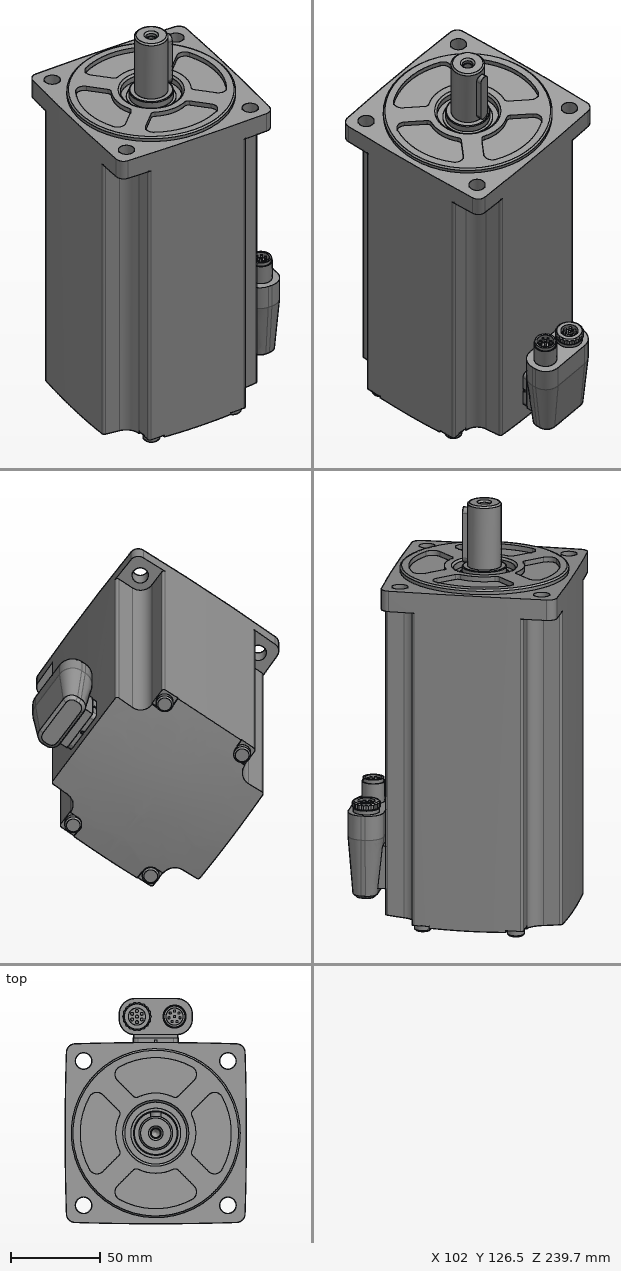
import cadquery as cq
import math


total_height = 239.7
flange_top = 199.7
flange_thickness = 12.0
flange_bottom = flange_top - flange_thickness
pilot_height = 2.9
pilot_top = flange_top + pilot_height

body_width = 102.0
total_depth = 126.5
mid_half_width = body_width / 2
bulge = 0.7
corner_radius = 5.0
end_half_width = mid_half_width - bulge
corner_center = end_half_width - corner_radius

groove_wall = 32.0
groove_inner_radius = 8.0
groove_edge_radius = 1.5
dome_radius = 443.5

flange_hole_diameter = 9.0
flange_hole_offset = 40.5
pilot_diameter = 95.0
pilot_chamfer = 1.0

pocket_outer_radius = 42.5
pocket_inner_radius = 22.5
pocket_depth = pilot_height
rib_width = 11.5
pocket_outer_fillet = 4.8
pocket_inner_fillet = 2.5

recess_diameter = 34.8
recess_depth = 4.8
recess_chamfer = 1.2
seal_diameter = 28.0
seal_height = 0.5
collar_diameter = 25.0
collar_chamfer = 0.5

shaft_diameter = 19.0
shaft_chamfer = 1.0
center_sink_diameter = 8.2
center_bore_diameter = 6.0
center_bore_depth = 2.9
center_drill_diameter = 5.0
center_drill_depth = 16.0
key_width = 6.0
key_length = 32.1
key_top_gap = 3.5
key_reach = 12.0
key_height = 6.0

screw_x = 44.5
screw_y = 26.5
screw_head_diameter = 9.5
screw_head_chamfer = 1.0
screw_bottom = 0.5
notch_top = 4.5

box_length = 41.2
box_width = 20.4
box_outer_face = total_depth - mid_half_width
box_flat = 2.5
box_y = box_outer_face - box_width / 2
box_top = 57.8
taper_top = 43.6
taper_bottom = 8.0
foot_length = 34.0
foot_width = 13.7
foot_y = 66.0
foot_chamfer = 2.0

mount_size = 25.5
neck_size = 25.0
mount_z = 26.0
mount_corner_radius = 2.9
plate_face = 53.5
plate_notch_size = 1.5

socket_x = 10.5
socket_y = box_y
socket_bore_diameter = 9.5
socket_bore_depth = 3.5
pin_circle_diameter = 6.2
pin_setback = 0.7

power_neck_diameter = 14.9
knurl_bottom = 60.0
knurl_top = 64.0
knurl_diameter = 16.0
knurl_chamfer = 1.0
knurl_tooth_count = 18
knurl_tooth_depth = 0.5
power_pin_count = 6
power_pin_diameter = 1.65

signal_diameter = 13.0
signal_shoulder = 69.3
signal_tip_diameter = 11.7
signal_top = 71.5
signal_pin_count = 7
signal_pin_diameter = 1.25

overlap = 2.5


def cylinder(diameter, bottom, top, x=0.0, y=0.0):
    """Upright cylinder between two heights."""
    return cq.Workplane("XY", origin=(x, y, bottom)).circle(diameter / 2).extrude(top - bottom)


def bulged_square(bottom, top):
    """Square prism with slightly arched sides and round corners."""
    corner_mid = corner_center + corner_radius * math.sqrt(0.5)
    outline = cq.Workplane("XY", origin=(0, 0, bottom)).moveTo(-corner_center, -end_half_width)

    def turned(x, y, quarter_turns):
        for _ in range(quarter_turns):
            x, y = -y, x
        return x, y

    for turn in range(4):
        outline = outline.threePointArc(
            turned(0, -mid_half_width, turn),
            turned(corner_center, -end_half_width, turn),
        ).threePointArc(
            turned(corner_mid, -corner_mid, turn),
            turned(end_half_width, -corner_center, turn),
        )
    return outline.close().extrude(top - bottom)


def make_housing():
    """Long housing with a stepped groove along each corner and a domed lower end."""
    housing = bulged_square(0, flange_bottom)
    groove_center = groove_wall + mid_half_width / 2
    grooves = (
        cq.Workplane("XY")
        .rect(2 * groove_center, 2 * groove_center, forConstruction=True)
        .vertices()
        .rect(mid_half_width, mid_half_width)
        .extrude(flange_bottom)
    )
    housing = housing.cut(grooves)

    def reach(edge):
        return max(abs(edge.Center().x), abs(edge.Center().y))

    inner_edges = housing.edges("|Z").filter(lambda edge: reach(edge) < groove_wall + overlap)
    housing = inner_edges.fillet(groove_inner_radius)
    outer_limit = end_half_width - groove_edge_radius
    outer_edges = housing.edges("|Z").filter(lambda edge: reach(edge) > outer_limit)
    housing = outer_edges.fillet(groove_edge_radius)
    dome = cq.Workplane("XY", origin=(0, 0, dome_radius)).sphere(dome_radius)
    return housing.intersect(dome)


def in_each_corner(shape):
    """The shape and its mirror images across the XZ and YZ planes."""
    pair = shape.union(shape.mirror("XZ"))
    return pair.union(pair.mirror("YZ"))


def add_cap_screws(housing):
    """Screw heads in round-cornered notches that open to the side and to the corner groove."""
    head_radius = screw_head_diameter / 2
    notch_size = 2 * screw_head_diameter
    notch_shift = notch_size / 2 - head_radius
    notch = (
        cq.Workplane("XY")
        .center(screw_x + notch_shift, screw_y + notch_shift)
        .rect(notch_size, notch_size)
        .extrude(notch_top)
        .edges("|Z and <X and <Y")
        .fillet(head_radius)
    )
    head = cylinder(screw_head_diameter, screw_bottom, notch_top, screw_x, screw_y)
    head = head.faces("<Z").chamfer(screw_head_chamfer)
    return housing.cut(in_each_corner(notch)).union(in_each_corner(head))


def make_pocket():
    """Pocket on the +Y side: ring sector with edges parallel to the diagonals."""
    bottom = pilot_top - pocket_depth
    ring = cylinder(2 * pocket_outer_radius, bottom, pilot_top).cut(
        cylinder(2 * pocket_inner_radius, bottom, pilot_top)
    )
    apex = rib_width / 2 * math.sqrt(2)
    reach = pocket_outer_radius
    wedge = (
        cq.Workplane("XY", origin=(0, 0, bottom))
        .polyline([(0, apex), (reach, apex + reach), (-reach, apex + reach)])
        .close()
        .extrude(pocket_depth)
    )
    pocket = ring.intersect(wedge)
    middle_radius = (pocket_outer_radius + pocket_inner_radius) / 2

    def distance(edge):
        return math.hypot(edge.Center().x, edge.Center().y)

    outer_corners = pocket.edges("|Z").filter(lambda edge: distance(edge) > middle_radius)
    pocket = outer_corners.fillet(pocket_outer_fillet)
    inner_corners = pocket.edges("|Z").filter(lambda edge: distance(edge) < middle_radius)
    return inner_corners.fillet(pocket_inner_fillet)


def make_recess():
    """Ring-shaped space around the shaft collar, with the seal as a low step on its floor."""
    floor = pilot_top - recess_depth
    seal_top = floor + seal_height
    wall = recess_diameter / 2
    seal = seal_diameter / 2
    collar = collar_diameter / 2
    return (
        cq.Workplane("XZ")
        .polyline([
            (wall + recess_chamfer, pilot_top),
            (wall, pilot_top - recess_chamfer),
            (wall, floor),
            (seal, floor),
            (seal, seal_top),
            (collar, seal_top),
            (collar, pilot_top - collar_chamfer),
            (collar - collar_chamfer, pilot_top),
        ])
        .close()
        .revolve(360, (0, 0, 0), (0, 1, 0))
    )


def make_flange():
    """Mounting flange with pilot, bolt holes, relief pockets and seal recess."""
    flange = bulged_square(flange_bottom, flange_top)
    flange = flange.union(
        cylinder(pilot_diameter, flange_top - overlap, pilot_top).faces(">Z").chamfer(pilot_chamfer)
    )
    bolt_hole = cylinder(
        flange_hole_diameter, flange_bottom, flange_top, flange_hole_offset, flange_hole_offset
    )
    flange = flange.cut(in_each_corner(bolt_hole))
    pocket = make_pocket()
    for turn in range(4):
        flange = flange.cut(pocket.rotate((0, 0, 0), (0, 0, 1), 90 * turn))
    return flange.cut(make_recess())


def make_shaft():
    """Shaft with a stepped, pointed center hole and a round-ended key toward +Y."""
    shaft = cylinder(shaft_diameter, flange_top, total_height).faces(">Z").chamfer(shaft_chamfer)
    sink = center_sink_diameter / 2
    bore = center_bore_diameter / 2
    drill = center_drill_diameter / 2
    center_hole = (
        cq.Workplane("XZ", origin=(0, 0, total_height))
        .polyline([
            (0, 0),
            (sink, 0),
            (bore, bore - sink),
            (bore, -center_bore_depth),
            (drill, -center_bore_depth),
            (drill, -center_drill_depth),
            (0, -center_drill_depth - drill),
        ])
        .close()
        .revolve(360, (0, 0, 0), (0, 1, 0))
    )
    shaft = shaft.cut(center_hole)
    key_middle = total_height - key_top_gap - key_length / 2
    key = (
        cq.Workplane("XZ", origin=(0, key_reach, key_middle))
        .slot2D(key_length, key_width, 90)
        .extrude(key_height)
    )
    return shaft.union(key)


def rounded_section(height, y, length, width):
    """Horizontal rounded rectangle, with narrow flats on its two ends."""
    radius = (width - box_flat) / 2
    return cq.Sketch().rect(length, width).vertices().fillet(radius).moved(
        cq.Location(cq.Vector(0, y, height))
    )


def make_connector_box():
    """Rounded connector box that tapers downward, on a neck and a square mounting plate.

    Each side of the plate has a small notch where it meets the housing.
    """
    upper = rounded_section(taper_top, box_y, box_length, box_width)
    lower = rounded_section(taper_bottom, foot_y, foot_length, foot_width)
    box = cq.Workplane("XY").placeSketch(upper).extrude(box_top - taper_top)
    box = box.union(cq.Workplane("XY").placeSketch(upper, lower).loft())
    box = box.faces("<Z").chamfer(foot_chamfer)

    plate = (
        cq.Workplane("XZ", origin=(0, plate_face, mount_z))
        .rect(mount_size, mount_size)
        .extrude(plate_face - mid_half_width + overlap)
        .edges("|Y")
        .fillet(mount_corner_radius)
    )
    inner_half = mount_size / 2 - plate_notch_size / 2
    for x, z in ((-inner_half, 0), (inner_half, 0), (0, -inner_half), (0, inner_half)):
        notch_middle = cq.Workplane("XY", origin=(x, mid_half_width, mount_z + z))
        plate = plate.cut(notch_middle.box(plate_notch_size, 2 * plate_notch_size, plate_notch_size))
    neck = (
        cq.Workplane("XZ", origin=(0, foot_y, mount_z))
        .rect(neck_size, neck_size)
        .extrude(foot_y - plate_face)
    )
    return box.union(neck).union(plate)


def add_bore_and_pins(socket, x, top, pin_count, pin_diameter):
    """Open the top of a socket and stand a ring of pins around a middle pin in it."""
    floor = top - socket_bore_depth
    pin_top = top - pin_setback
    socket = socket.cut(cylinder(socket_bore_diameter, floor, top, x, socket_y))
    pins = (
        cq.Workplane("XY", origin=(x, socket_y, floor - overlap))
        .polarArray(pin_circle_diameter / 2, 90, 360, pin_count)
        .circle(pin_diameter / 2)
        .extrude(pin_top - floor + overlap)
    )
    middle_pin = cylinder(pin_diameter, floor - overlap, pin_top, x, socket_y)
    return socket.union(pins).union(middle_pin)


def make_power_socket():
    """Short socket whose coupling ring has V-shaped knurl teeth."""
    x = -socket_x
    tooth_points = []
    for corner in range(2 * knurl_tooth_count):
        angle = math.pi * corner / knurl_tooth_count
        radius = knurl_diameter / 2 - knurl_tooth_depth * (corner % 2)
        tooth_points.append((radius * math.cos(angle), radius * math.sin(angle)))
    teeth = (
        cq.Workplane("XY", origin=(x, socket_y, knurl_bottom))
        .polyline(tooth_points)
        .close()
        .extrude(knurl_top - knurl_bottom)
    )
    blank = cylinder(knurl_diameter, knurl_bottom, knurl_top, x, socket_y)
    knurl = teeth.intersect(blank.faces("<Z or >Z").chamfer(knurl_chamfer))
    socket = cylinder(power_neck_diameter, box_top - overlap, knurl_bottom, x, socket_y).union(knurl)
    return add_bore_and_pins(socket, x, knurl_top, power_pin_count, power_pin_diameter)


def make_signal_socket():
    """Taller round socket with a narrower tip."""
    x = socket_x
    socket = cylinder(signal_diameter, box_top - overlap, signal_shoulder, x, socket_y)
    socket = socket.union(cylinder(signal_tip_diameter, signal_shoulder, signal_top, x, socket_y))
    return add_bore_and_pins(socket, x, signal_top, signal_pin_count, signal_pin_diameter)


result = (
    add_cap_screws(make_housing())
    .union(make_flange())
    .union(make_shaft())
    .union(make_connector_box())
    .union(make_power_socket())
    .union(make_signal_socket())
)